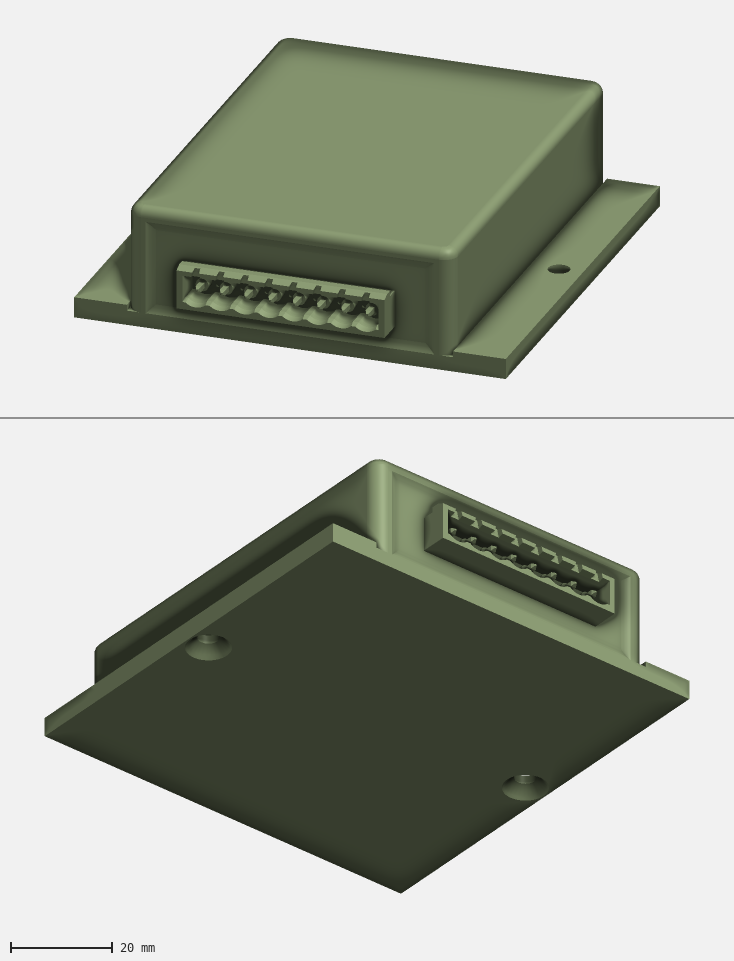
import cadquery as cq
import math

plate_size = 90.0
flange_thickness = 4.3
channel_floor = 3.1
mount_hole_diameter = 4.5
mount_hole_spacing = 80.0
countersink_depth = 2.4

total_height = 25.5
housing_width = 68.0
corner_radius = 3.0
top_radius = 2.0

recess_width = 60.2
recess_top = 22.6
recess_depth = 0.5
recess_cove = 2.0
recess_top_cove = 1.6

shell_width = 43.4
shell_bottom = 7.6
shell_top = 15.3
shell_reach = 5.5
lip_top = 16.4
lip_start = 2.3
lip_bevel_length = 1.6
lip_bevel_drop = 0.7

cavity_width = 40.9
cavity_top = 14.4
cavity_bottom = 9.55
scallop_radius = 2.9
mouth_flare = 0.4
mouth_depth = 1.4
key_slot_top_width = 1.05
key_slot_base_width = 2.1
key_slot_depth = 1.2

pin_count = 8
pin_pitch = 5.1
pin_height = 11.65
pin_width = 1.1
pin_inset = 1.0
pin_tip_width = 0.4
pin_tip_length = 0.8
collar_diameter = 2.7
collar_inset = 3.8
dimple_diameter = 0.8
dimple_height = 11.1
dimple_depth = 0.5

front_y = -plate_size / 2
shell_front_y = front_y - shell_reach
recess_floor_y = front_y + recess_depth
cavity_depth = shell_reach + recess_depth
pin_positions = [(i - (pin_count - 1) / 2) * pin_pitch for i in range(pin_count)]


def box(x_range, y_range, z_range):
    """Axis-aligned block between the given limits."""
    size = [end - start for start, end in (x_range, y_range, z_range)]
    return cq.Workplane("XY").box(*size, centered=False).translate((x_range[0], y_range[0], z_range[0]))


def front_plane(y):
    """Sketch plane at depth y whose extrusions run toward +Y; local x is -X, local y is Z."""
    return cq.Workplane(cq.Plane(origin=(0, y, 0), xDir=(-1, 0, 0), normal=(0, 1, 0)))


def centred(width):
    return (-width / 2, width / 2)


def make_plate():
    plate = box(centred(plate_size), centred(plate_size), (0, flange_thickness))
    channel = box(centred(housing_width), centred(plate_size), (channel_floor, flange_thickness))
    plate = plate.cut(channel)
    for x in (-mount_hole_spacing / 2, mount_hole_spacing / 2):
        hole = cq.Workplane("XY").center(x, 0).circle(mount_hole_diameter / 2).extrude(flange_thickness)
        countersink = cq.Workplane("XY").add(cq.Solid.makeCone(
            mount_hole_diameter / 2 + countersink_depth,
            mount_hole_diameter / 2,
            countersink_depth,
            pnt=cq.Vector(x, 0, 0),
        ))
        plate = plate.cut(hole).cut(countersink)
    return plate


def cove_middle(width):
    """Halfway point of a cove tangent to the recess floor: distance from the floor edge, and depth."""
    radius = (width ** 2 + recess_depth ** 2) / (2 * recess_depth)
    half_angle = math.asin(width / radius) / 2
    return radius * math.sin(half_angle), recess_depth - radius * (1 - math.cos(half_angle))


def recess_profile(plane, start, end, end_cove):
    """Section of the recess along one direction; local y is the depth below the front wall."""
    start_reach, start_depth = cove_middle(recess_cove)
    end_reach, end_depth = cove_middle(end_cove)
    floor_start = start + recess_cove
    floor_end = end - end_cove
    return (
        cq.Workplane(plane)
        .moveTo(start, 0)
        .threePointArc((floor_start - start_reach, start_depth), (floor_start, recess_depth))
        .lineTo(floor_end, recess_depth)
        .threePointArc((floor_end + end_reach, end_depth), (end, 0))
        .close()
    )


def make_recess():
    """Coved recess whose corners are mitred where the two sections cross."""
    across = cq.Plane(origin=(0, front_y, channel_floor), xDir=(1, 0, 0), normal=(0, 0, 1))
    upright = cq.Plane(origin=(0, front_y, 0), xDir=(0, 0, 1), normal=(-1, 0, 0))
    side_section = recess_profile(across, -recess_width / 2, recess_width / 2, recess_cove)
    height_section = recess_profile(upright, channel_floor, recess_top, recess_top_cove)
    side_prism = side_section.extrude(recess_top - channel_floor)
    return side_prism.intersect(height_section.extrude(recess_width / 2, both=True))


def make_housing():
    housing = box(centred(housing_width), centred(plate_size), (channel_floor, total_height))
    housing = housing.edges("|Z").fillet(corner_radius)
    housing = housing.faces(">Z").edges().fillet(top_radius)
    return housing.cut(make_recess())


def make_shell():
    lip_back_y = front_y - lip_start
    return (
        cq.Workplane("YZ")
        .moveTo(recess_floor_y, shell_bottom)
        .lineTo(shell_front_y, shell_bottom)
        .lineTo(shell_front_y, lip_top - lip_bevel_drop)
        .lineTo(shell_front_y + lip_bevel_length, lip_top)
        .lineTo(lip_back_y, lip_top)
        .lineTo(lip_back_y, shell_top)
        .lineTo(recess_floor_y, shell_top)
        .close()
        .extrude(shell_width / 2, both=True)
    )


def make_cavity():
    """Opening with a scallop under each contact."""
    mouth_end_y = shell_front_y + mouth_depth
    mouth_radius = scallop_radius + mouth_flare
    cavity = (
        cq.Workplane("YZ")
        .moveTo(shell_front_y, cavity_bottom - mouth_flare)
        .lineTo(mouth_end_y, cavity_bottom)
        .lineTo(recess_floor_y, cavity_bottom)
        .lineTo(recess_floor_y, cavity_top)
        .lineTo(mouth_end_y, cavity_top)
        .lineTo(shell_front_y, cavity_top + mouth_flare)
        .close()
        .extrude(cavity_width / 2, both=True)
    )
    limits = box(centred(cavity_width), (shell_front_y, recess_floor_y), (shell_bottom, pin_height))
    for x in pin_positions:
        scallop = (
            cq.Workplane("XY")
            .moveTo(0, 0)
            .lineTo(mouth_radius, 0)
            .lineTo(scallop_radius, mouth_depth)
            .lineTo(scallop_radius, cavity_depth)
            .lineTo(0, cavity_depth)
            .close()
            .revolve(360, (0, 0, 0), (0, 1, 0))
            .translate((x, shell_front_y, pin_height))
        )
        cavity = cavity.union(scallop.intersect(limits))
    return cavity


def make_key_slot(x):
    """Dovetail slot through the lip above one contact."""
    return (
        front_plane(shell_front_y)
        .center(-x, 0)
        .polyline([
            (-key_slot_base_width / 2, cavity_top),
            (key_slot_base_width / 2, cavity_top),
            (key_slot_top_width / 2, lip_top),
            (-key_slot_top_width / 2, lip_top),
        ])
        .close()
        .extrude(key_slot_depth)
    )


def make_contact(x):
    """Collar and pin standing on the cavity floor."""
    shank_start_y = shell_front_y + pin_inset + pin_tip_length
    collar_front_y = shell_front_y + collar_inset
    collar = (
        front_plane(collar_front_y)
        .center(-x, pin_height)
        .circle(collar_diameter / 2)
        .extrude(recess_floor_y - collar_front_y)
    )
    shank = (
        front_plane(shank_start_y)
        .center(-x, pin_height)
        .rect(pin_width, pin_width)
        .extrude(recess_floor_y - shank_start_y)
    )
    tip = (
        front_plane(shell_front_y + pin_inset)
        .center(-x, pin_height)
        .rect(pin_tip_width, pin_tip_width)
        .workplane(offset=pin_tip_length)
        .rect(pin_width, pin_width)
        .loft()
    )
    return collar.union(shank).union(tip)


def make_connector():
    shell = make_shell().cut(make_cavity())
    for x in pin_positions:
        shell = shell.cut(make_key_slot(x)).union(make_contact(x))
    return shell


def make_dimples():
    """Small blind holes in the cavity floor, one between each pair of contacts."""
    return (
        front_plane(recess_floor_y)
        .pushPoints([(-x - pin_pitch / 2, dimple_height) for x in pin_positions[:-1]])
        .circle(dimple_diameter / 2)
        .extrude(dimple_depth)
    )


result = make_plate().union(make_housing()).union(make_connector()).cut(make_dimples())